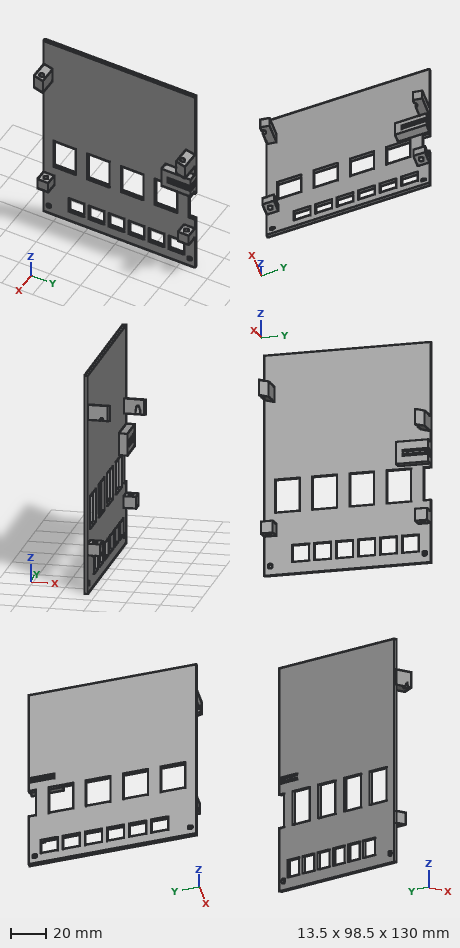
import cadquery as cq
import math

PANEL_THICKNESS = 2.0
PANEL_WIDTH = 98.5
PANEL_HEIGHT = 130.0
TOTAL_DEPTH = 13.5

LARGE_COUNT = 5
LARGE_WIDTH = 14.5
LARGE_HEIGHT = 19.5
LARGE_PITCH = 22.0
LARGE_FIRST_Y = 6.5
LARGE_BOTTOM_Z = 36.8

SMALL_COUNT = 6
SMALL_SIZE = 10.0
SMALL_PITCH = 13.0
SMALL_FIRST_Y = 16.5
SMALL_BOTTOM_Z = 6.9

HOLE_DIAMETER = 2.7
CORNER_HOLE_INSET = 3.5
CORNER_HOLE_Z = 5.5

BLOCK_REACH = 5.0
BLOCK_WIDTH = 19.0
BLOCK_HEIGHT = 13.0
BLOCK_BOTTOM_Z = 58.1
SLOT_COUNT = 2
SLOT_LENGTH = 15.1
SLOT_HEIGHT = 1.0
SLOT_PITCH = 2.5
LOWER_SLOT_Z = 62.5

LOW_Y_BOSS_INSET = 0.1
BOSS_REACH = 7.2
BOSS_WIDTH = 7.0
BOSS_HEIGHT = 7.0
BOSS_BOTTOM_Z = 23.0

POST_WIDTH = 5.7
POST_HEIGHT = 9.0
POST_TILT = 15.0
POST_HOLE_X = 10.0
LOW_Y_POST_INSET = 0.4
LOW_Y_POST_TOP_Z = 112.6
LOW_Y_POST_HOLE_OFFSET = 3.1
HIGH_Y_POST_TOP_Z = 87.8
HIGH_Y_POST_HOLE_OFFSET = 2.2


def box(x, y, z, depth, width, height):
    """Box with its lowest corner at (x, y, z)."""
    return cq.Workplane("XY").box(depth, width, height, centered=False).translate((x, y, z))


def window(y, z, width, height):
    """Rectangular cutter through the panel and everything behind it."""
    return box(0, y, z, TOTAL_DEPTH, width, height)


def corner_hole(y):
    hole = cq.Solid.makeCylinder(
        HOLE_DIAMETER / 2, PANEL_THICKNESS, cq.Vector(0, y, CORNER_HOLE_Z), cq.Vector(1, 0, 0)
    )
    return cq.Workplane(obj=hole)


def slotted_block():
    block_y = PANEL_WIDTH - BLOCK_WIDTH
    return box(PANEL_THICKNESS, block_y, BLOCK_BOTTOM_Z, BLOCK_REACH, BLOCK_WIDTH, BLOCK_HEIGHT)


def boss(y):
    """Square boss with a vertical hole through its centre."""
    body = box(PANEL_THICKNESS, y, BOSS_BOTTOM_Z, BOSS_REACH, BOSS_WIDTH, BOSS_HEIGHT)
    return body.faces(">Z").workplane(centerOption="CenterOfBoundBox").hole(HOLE_DIAMETER)


def tilted_post(y, top_z, hole_offset):
    """Post with its highest edge at (y, top_z); the hole starts hole_offset from that edge."""
    slope = math.tan(math.radians(POST_TILT))
    drop = POST_WIDTH * slope
    body = (
        cq.Workplane("YZ", origin=(PANEL_THICKNESS, 0, 0))
        .moveTo(y, top_z)
        .line(POST_WIDTH, -drop)
        .line(0, -POST_HEIGHT)
        .line(-POST_WIDTH, drop)
        .close()
        .extrude(TOTAL_DEPTH - PANEL_THICKNESS)
    )
    hole_y = y + hole_offset
    hole_z = top_z - hole_offset * slope
    axis = cq.Vector(0, -slope, -1).normalized()
    start = cq.Vector(POST_HOLE_X, hole_y, hole_z) - axis * POST_HEIGHT
    drill = cq.Solid.makeCylinder(HOLE_DIAMETER / 2, 3 * POST_HEIGHT, start, axis)
    return body.cut(cq.Workplane(obj=drill))


result = box(0, 0, 0, PANEL_THICKNESS, PANEL_WIDTH, PANEL_HEIGHT)
result = result.union(slotted_block())
for boss_y in (LOW_Y_BOSS_INSET, PANEL_WIDTH - BOSS_WIDTH):
    result = result.union(boss(boss_y))
result = result.union(tilted_post(LOW_Y_POST_INSET, LOW_Y_POST_TOP_Z, LOW_Y_POST_HOLE_OFFSET))
result = result.union(
    tilted_post(PANEL_WIDTH - POST_WIDTH, HIGH_Y_POST_TOP_Z, HIGH_Y_POST_HOLE_OFFSET)
)

for i in range(LARGE_COUNT):
    large_y = LARGE_FIRST_Y + i * LARGE_PITCH
    result = result.cut(window(large_y, LARGE_BOTTOM_Z, LARGE_WIDTH, LARGE_HEIGHT))
for i in range(SMALL_COUNT):
    small_y = SMALL_FIRST_Y + i * SMALL_PITCH
    result = result.cut(window(small_y, SMALL_BOTTOM_Z, SMALL_SIZE, SMALL_SIZE))
for hole_y in (CORNER_HOLE_INSET, PANEL_WIDTH - CORNER_HOLE_INSET):
    result = result.cut(corner_hole(hole_y))

for i in range(SLOT_COUNT):
    slot_z = LOWER_SLOT_Z + i * SLOT_PITCH
    result = result.cut(window(PANEL_WIDTH - SLOT_LENGTH, slot_z, SLOT_LENGTH, SLOT_HEIGHT))